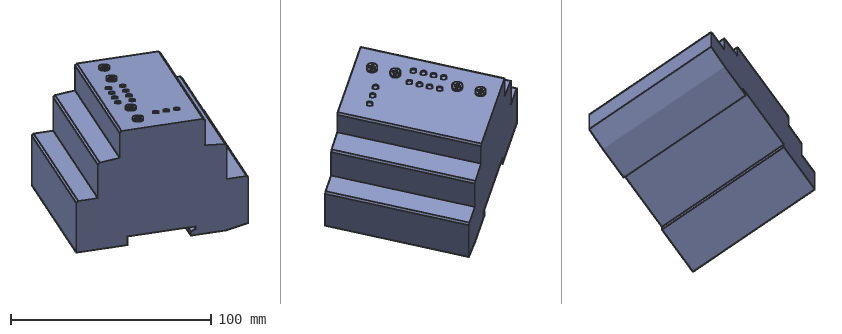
import cadquery as cq

width = 74.5
base_length = 90.0
middle_length = 67.5
top_length = 44.6
base_height = 29.2
shoulder_outer_height = 49.05
shoulder_inner_height = 50.1
top_height = 65.25
edge_chamfer = 1.0

slope_start_y = 33.1
slope_rise = 2.3
rail_depth = 4.9
rail_front_y = -18.1
rail_rear_y = 17.4
hook_tip_y = 14.9
hook_tip_height = 2.4
hook_root_height = 3.4

screw_y = -9.9
screw_inner_x = 16.0
screw_outer_x = 28.1
screw_diameter = 5.4
screw_height = 1.0
cross_length = 3.1
cross_width = 1.0
cross_depth = screw_height

hole_diameter = 3.1
hole_depth = 1.0
hole_pitch_x = 5.2
holes_per_row = 4
hole_row_ys = (-6.6, -14.0)
side_hole_x = 23.3
side_hole_middle_y = 6.4
side_hole_pitch_y = 5.5
side_hole_count = 3


def centred_positions(count, pitch):
    """Evenly spaced positions centred on zero."""
    return [(i - (count - 1) / 2) * pitch for i in range(count)]


def tiers_outline(side):
    """Stepped outline (Y, Z) of one end, from the base edge up to the top; side is +1 or -1."""
    return [
        (side * base_length / 2, base_height),
        (side * middle_length / 2, base_height),
        (side * middle_length / 2, shoulder_outer_height),
        (side * top_length / 2, shoulder_inner_height),
        (side * top_length / 2, top_height),
    ]


def make_housing():
    underside = [
        (-base_length / 2, 0),
        (rail_front_y, 0),
        (rail_front_y, rail_depth),
        (rail_rear_y, rail_depth),
        (rail_rear_y, hook_root_height),
        (hook_tip_y, hook_tip_height),
        (hook_tip_y, 0),
        (slope_start_y, 0),
        (base_length / 2, slope_rise),
    ]
    outline = underside + tiers_outline(1) + tiers_outline(-1)[::-1]
    body = cq.Workplane("YZ").polyline(outline).close().extrude(width / 2, both=True)

    for length, height in (
        (base_length, base_height),
        (middle_length, shoulder_outer_height),
        (top_length, top_height),
    ):
        for side in (1, -1):
            corner = (0, side * length / 2, height)
            edge = cq.selectors.NearestToPointSelector(corner)
            body = body.edges(edge).chamfer(edge_chamfer)
    return body


def make_screws():
    screw_xs = (-screw_outer_x, -screw_inner_x, screw_inner_x, screw_outer_x)
    centres = [(x, screw_y) for x in screw_xs]
    heads = (
        cq.Workplane("XY", origin=(0, 0, top_height))
        .pushPoints(centres)
        .circle(screw_diameter / 2)
        .extrude(screw_height)
    )
    head_tops = cq.Workplane("XY", origin=(0, 0, top_height + screw_height)).pushPoints(centres)
    bar_along_x = head_tops.rect(cross_length, cross_width).extrude(-cross_depth)
    bar_along_y = head_tops.rect(cross_width, cross_length).extrude(-cross_depth)
    return heads.cut(bar_along_x).cut(bar_along_y)


def make_holes():
    row_xs = centred_positions(holes_per_row, hole_pitch_x)
    centres = [(x, y) for x in row_xs for y in hole_row_ys]
    for offset in centred_positions(side_hole_count, side_hole_pitch_y):
        centres.append((side_hole_x, side_hole_middle_y + offset))
    return (
        cq.Workplane("XY", origin=(0, 0, top_height))
        .pushPoints(centres)
        .circle(hole_diameter / 2)
        .extrude(-hole_depth)
    )


result = make_housing().cut(make_holes()).union(make_screws())